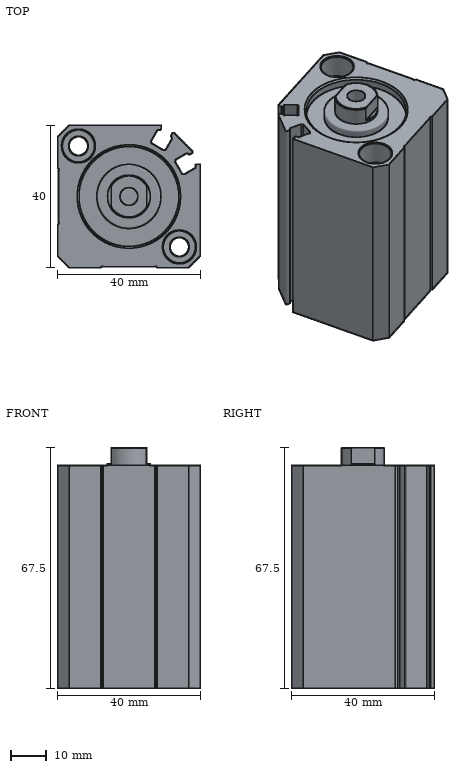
import cadquery as cq
import math

width = 40.0
half_width = width / 2
housing_height = 62.5
corner_chamfer = 3.3
slotted_corner_chamfer = 9.5

panel_half_width = 7.2
panel_depth = 0.25
groove_tip_offset = 7.55
groove_tip_depth = 0.45
groove_outer_offset = 7.95

slot_angle = 60.0
slot_floor = 16.1
slot_half_width = 2.35
slot_floor_chamfer = 0.4
undercut_end = 20.15
lip_start = 20.5
lip_end = 21.0
lip_half_width = 1.65
flare_angle = 30.0
tongue_tip_radius = 0.35
slot_reach = 24.0

bolt_circle_diameter = 40.0
bolt_angles = (135.0, -45.0)
bolt_diameter = 5.2
bolt_chamfer = 0.15
counterbore_diameter = 9.0
counterbore_depth = 7.0
counterbore_chamfer = 0.25

recess_diameter = 28.0
recess_depth = 2.6
recess_chamfer = 0.5
collar_diameter = 18.0
collar_height = 2.3
collar_fillet = 0.5

rod_diameter = 12.0
rod_projection = 5.0
rod_insertion = 15.0
rod_chamfer = 0.25
rod_top = housing_height + rod_projection
rod_bottom = housing_height - rod_insertion
flat_spacing = 10.0
flat_bottom = housing_height + 0.5
thread_hole_diameter = 5.0
thread_hole_depth = 12.0


def cylinder(diameter, bottom, top):
    return cq.Workplane("XY").workplane(offset=bottom).circle(diameter / 2).extrude(top - bottom)


def make_block():
    """Square extrusion with three small corner chamfers and one large one."""
    block = cq.Workplane("XY").rect(width, width).extrude(housing_height)
    block = block.edges("|Z and (<X or <Y)").chamfer(corner_chamfer)
    large_corner = (
        cq.Workplane("XY")
        .moveTo(half_width, half_width)
        .lineTo(half_width - slotted_corner_chamfer, half_width)
        .lineTo(half_width, half_width - slotted_corner_chamfer)
        .close()
        .extrude(housing_height)
    )
    return block.cut(large_corner)


def make_side_panel():
    """Material removed from the -Y face: a shallow panel with a V groove at each edge."""
    face = -half_width
    return (
        cq.Workplane("XY")
        .moveTo(-groove_outer_offset, face)
        .lineTo(-groove_tip_offset, face + groove_tip_depth)
        .lineTo(-panel_half_width, face + panel_depth)
        .lineTo(panel_half_width, face + panel_depth)
        .lineTo(groove_tip_offset, face + groove_tip_depth)
        .lineTo(groove_outer_offset, face)
        .close()
        .extrude(housing_height)
    )


def make_sensor_slot():
    """Undercut slot with a retaining lip on each side and a mouth flared on its outer side."""
    flare_half_width = lip_half_width + (slot_reach - lip_end) * math.tan(math.radians(flare_angle))
    floor_half_width = slot_half_width - slot_floor_chamfer
    slot = (
        cq.Workplane("XY")
        .moveTo(slot_floor, floor_half_width)
        .lineTo(slot_floor + slot_floor_chamfer, slot_half_width)
        .lineTo(undercut_end, slot_half_width)
        .lineTo(lip_start, lip_half_width)
        .lineTo(lip_end, lip_half_width)
        .lineTo(slot_reach, flare_half_width)
        .lineTo(slot_reach, -lip_half_width)
        .lineTo(lip_start, -lip_half_width)
        .lineTo(undercut_end, -slot_half_width)
        .lineTo(slot_floor + slot_floor_chamfer, -slot_half_width)
        .lineTo(slot_floor, -floor_half_width)
        .close()
        .extrude(housing_height)
    )
    return slot.rotate((0, 0, 0), (0, 0, 1), slot_angle)


def cut_sensor_slots(block):
    """Cut both slots and round the two tips of the tongue left between them."""
    slot = make_sensor_slot()
    block = block.cut(slot).cut(slot.mirror(cq.Vector(1, -1, 0)))
    cosine = math.cos(math.radians(slot_angle))
    sine = math.sin(math.radians(slot_angle))
    chamfer_line_sum = width - slotted_corner_chamfer
    tip_along = (chamfer_line_sum - lip_half_width * (sine - cosine)) / (cosine + sine)
    tip_x = tip_along * cosine + lip_half_width * sine
    tip_y = tip_along * sine - lip_half_width * cosine
    for x, y in ((tip_x, tip_y), (tip_y, tip_x)):
        tip = cq.selectors.NearestToPointSelector((x, y, housing_height / 2))
        block = block.edges("|Z").edges(tip).fillet(tongue_tip_radius)
    return block


def make_mounting_hole(angle):
    """Counterbored through hole, chamfered at both mouths."""
    seat = housing_height - counterbore_depth
    bolt_radius = bolt_diameter / 2
    counterbore_radius = counterbore_diameter / 2
    hole = (
        cq.Workplane("XZ")
        .moveTo(0, 0)
        .lineTo(bolt_radius, 0)
        .lineTo(bolt_radius, seat - bolt_chamfer)
        .lineTo(bolt_radius + bolt_chamfer, seat)
        .lineTo(counterbore_radius, seat)
        .lineTo(counterbore_radius, housing_height - counterbore_chamfer)
        .lineTo(counterbore_radius + counterbore_chamfer, housing_height)
        .lineTo(0, housing_height)
        .close()
        .revolve(360, (0, 0, 0), (0, 1, 0))
    )
    hole = hole.translate((bolt_circle_diameter / 2, 0, 0))
    return hole.rotate((0, 0, 0), (0, 0, 1), angle)


def make_front_recess():
    """Ring-shaped recess in the top face, leaving the collar standing in the middle."""
    floor = housing_height - recess_depth
    bore = cylinder(recess_diameter, floor, housing_height)
    mouth = (
        cq.Workplane("XY").workplane(offset=housing_height)
        .circle(recess_diameter / 2 + recess_chamfer)
        .workplane(offset=-recess_chamfer)
        .circle(recess_diameter / 2)
        .loft()
    )
    collar = cylinder(collar_diameter, floor, floor + collar_height)
    collar = collar.faces(">Z").edges().fillet(collar_fillet)
    return bore.union(mouth).cut(collar)


def make_housing():
    housing = make_block()
    panel = make_side_panel()
    housing = housing.cut(panel)
    housing = housing.cut(panel.rotate((0, 0, 0), (0, 0, 1), -90))
    housing = cut_sensor_slots(housing)
    for angle in bolt_angles:
        housing = housing.cut(make_mounting_hole(angle))
    housing = housing.cut(make_front_recess())
    return housing.cut(cylinder(rod_diameter, rod_bottom, housing_height))


def make_rod():
    """Round rod with two wrench flats and a blind axial hole in its end."""
    rod = cylinder(rod_diameter, rod_bottom, rod_top).faces(">Z").chamfer(rod_chamfer)
    flat_band = cylinder(2 * rod_diameter, flat_bottom, rod_top)
    flat_core = (
        cq.Workplane("XY").workplane(offset=flat_bottom)
        .rect(flat_spacing, 2 * rod_diameter)
        .extrude(rod_projection)
    )
    rod = rod.cut(flat_band.cut(flat_core))
    return rod.cut(cylinder(thread_hole_diameter, rod_top - thread_hole_depth, rod_top))


housing = make_housing()
rod = make_rod()

result = cq.Compound.makeCompound([housing.solids().val(), rod.solids().val()])